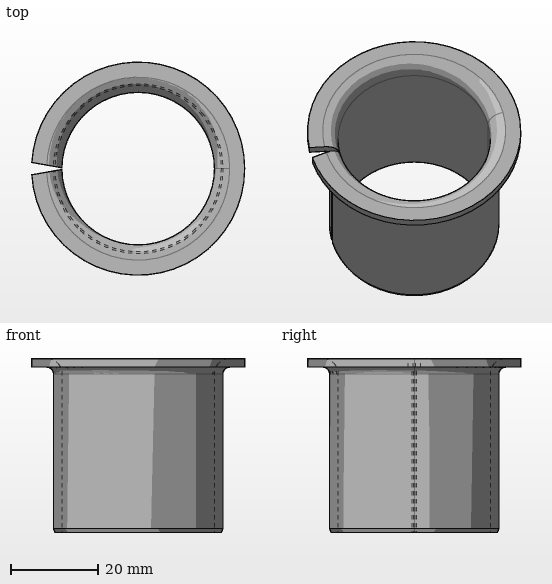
import cadquery as cq
import math

flange_diameter = 49.0
height = 40.0
bore_diameter = 34.95
wall = 2.0
bend_inner_radius = 1.5
chamfer_height = 1.0
chamfer_width = 0.4

split_outer_width = 2.8
split_side_angle = 10.0

flange_radius = flange_diameter / 2
bore_radius = bore_diameter / 2
tube_radius = bore_radius + wall
bend_outer_radius = bend_inner_radius + wall
flange_bottom = height - wall
diagonal = math.sqrt(0.5)


def flanged_tube():
    """Revolve the constant-thickness wall, bent outwards into the flange."""
    bend_x = tube_radius + bend_inner_radius
    bend_z = flange_bottom - bend_inner_radius

    def bend_middle(radius):
        return (bend_x - radius * diagonal, bend_z + radius * diagonal)

    profile = (
        cq.Workplane("XZ")
        .moveTo(bore_radius, 0)
        .lineTo(tube_radius - chamfer_width, 0)
        .lineTo(tube_radius, chamfer_height)
        .lineTo(tube_radius, bend_z)
        .threePointArc(bend_middle(bend_inner_radius), (bend_x, flange_bottom))
        .lineTo(flange_radius, flange_bottom)
        .lineTo(flange_radius, height)
        .lineTo(bend_x, height)
        .threePointArc(bend_middle(bend_outer_radius), (bore_radius, bend_z))
        .close()
    )
    return profile.revolve(360, (0, 0, 0), (0, 1, 0))


def split_wedge():
    """Triangular prism that opens the wall, widening outwards."""
    slope = math.tan(math.radians(split_side_angle))
    rim_half_width = split_outer_width / 2
    rim_x = math.sqrt(flange_radius**2 - rim_half_width**2)
    apex_x = rim_x - rim_half_width / slope
    far_x = 1.1 * flange_radius
    far_half_width = (far_x - apex_x) * slope
    return (
        cq.Workplane("XY")
        .polyline([(-apex_x, 0), (-far_x, far_half_width), (-far_x, -far_half_width)])
        .close()
        .extrude(height)
    )


result = flanged_tube().cut(split_wedge())